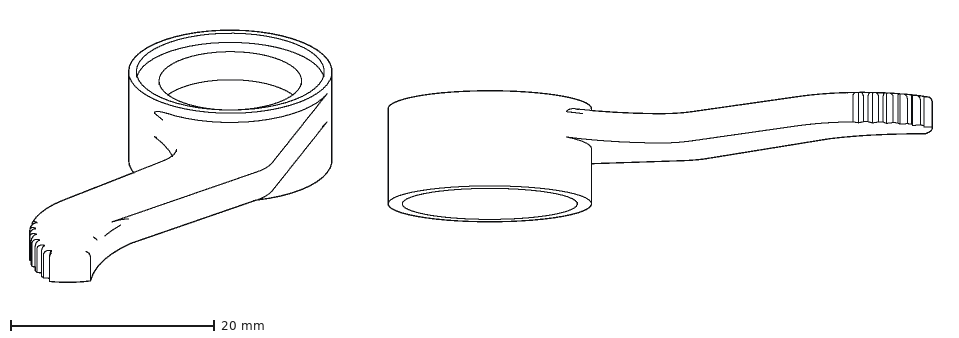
import cadquery as cq
import math

RING_DIAMETER = 20.0
RING_HEIGHT = 9.5
BORE_DIAMETER = 14.0
TOP_RECESS_DIAMETER = 18.5
TOP_RECESS_DEPTH = 1.0
BOTTOM_RECESS_DIAMETER = 17.2

ARM_THICKNESS = 3.0
ARM_TOP = RING_HEIGHT - TOP_RECESS_DEPTH
ARM_BOTTOM = ARM_TOP - ARM_THICKNESS
EDGE_RADIUS = 0.5
ELBOW_RADIUS = 4.95
WAIST_RADIUS = 4.95

RING_RADIUS = RING_DIAMETER / 2
OVERALL_LENGTH = 55.0
TIP_Y = RING_RADIUS - OVERALL_LENGTH

LEFT_ROOT = (-5.5, -8.25)
LEFT_WAIST = (0.2, -18.6)
LEFT_SHANK_END = (-7.05, -32.1)
GRIP_ARC_START = (-8.25, -36.75)
GRIP_END = (-4.05, TIP_Y)

TIP_CORNER = (-0.3, -43.6)
RIGHT_HOOK_MIDDLE = (-0.55, -38.2)
RIGHT_SHANK_END = (0.65, -33.9)
RIGHT_ELBOW = (RING_RADIUS, -18.8)

ROOT_ARC_POINT = (-1.9, -12.5)
TIP_ARC_POINT = (-2.2, -44.6)
LOWER_HOOK_POINT = (-0.65, -40.4)
UPPER_HOOK_POINT = (-0.15, -36.25)

NOTCH_COUNT = 6
NOTCHES_START_Y = -37.85
NOTCH_WIDTH = 1.05
NOTCH_DEPTH = 0.6
NOTCH_OVERCUT = 0.3


def make_cylinder(diameter, bottom, top):
    return cq.Workplane("XY").workplane(offset=bottom).circle(diameter / 2).extrude(top - bottom)


def make_arm():
    """Curved lever, rounded along the top of its left side, tip and hook."""
    arm = (
        cq.Workplane("XY")
        .workplane(offset=ARM_BOTTOM)
        .moveTo(*LEFT_ROOT)
        .threePointArc(ROOT_ARC_POINT, LEFT_WAIST)
        .lineTo(*LEFT_SHANK_END)
        .tangentArcPoint(GRIP_ARC_START, relative=False)
        .tangentArcPoint(GRIP_END, relative=False)
        .threePointArc(TIP_ARC_POINT, TIP_CORNER)
        .threePointArc(LOWER_HOOK_POINT, RIGHT_HOOK_MIDDLE)
        .threePointArc(UPPER_HOOK_POINT, RIGHT_SHANK_END)
        .lineTo(*RIGHT_ELBOW)
        .lineTo(RING_RADIUS, 0)
        .lineTo(0, 0)
        .close()
        .extrude(ARM_THICKNESS)
    )
    for corner, radius in ((RIGHT_ELBOW, ELBOW_RADIUS), (LEFT_WAIST, WAIST_RADIUS)):
        upright = cq.selectors.NearestToPointSelector((*corner, ARM_BOTTOM + ARM_THICKNESS / 2))
        arm = arm.edges(upright).fillet(radius)
    rounded_zone = cq.selectors.BoxSelector(
        (-RING_RADIUS, TIP_Y, ARM_BOTTOM),
        (RIGHT_SHANK_END[0], LEFT_ROOT[1], ARM_TOP + EDGE_RADIUS),
    )
    return arm.faces(">Z").edges(rounded_zone).fillet(EDGE_RADIUS)


def make_notches():
    """V cutters evenly spaced along the grip arc; the last one ends at the tip."""
    grip_arc = (
        cq.Workplane("XY")
        .moveTo(*LEFT_WAIST)
        .lineTo(*LEFT_SHANK_END)
        .tangentArcPoint(GRIP_ARC_START, relative=False)
        .tangentArcPoint(GRIP_END, relative=False)
        .val()
    )
    center = grip_arc.arcCenter()
    radius = grip_arc.radius()
    start = math.pi + math.asin((center.y - NOTCHES_START_Y) / radius)
    end = math.atan2(GRIP_END[1] - center.y, GRIP_END[0] - center.x) % math.tau
    half_notch = NOTCH_WIDTH / radius / 2
    first = start + half_notch
    pitch = (end - half_notch - first) / (NOTCH_COUNT - 1)

    half_mouth = NOTCH_WIDTH / 2 * (1 + NOTCH_OVERCUT / NOTCH_DEPTH)
    cutter = (
        cq.Workplane("XY")
        .workplane(offset=ARM_BOTTOM)
        .polyline([
            (radius - NOTCH_DEPTH, 0),
            (radius + NOTCH_OVERCUT, half_mouth),
            (radius + NOTCH_OVERCUT, -half_mouth),
        ])
        .close()
        .extrude(ARM_THICKNESS)
    )
    notches = cq.Workplane("XY")
    for index in range(NOTCH_COUNT):
        angle = math.degrees(first + index * pitch)
        notch = cutter.rotate((0, 0, 0), (0, 0, 1), angle).translate((center.x, center.y, 0))
        notches = notches.add(notch)
    return notches.combine()


ring = make_cylinder(RING_DIAMETER, 0, RING_HEIGHT)
top_recess = make_cylinder(TOP_RECESS_DIAMETER, ARM_TOP, RING_HEIGHT)
bottom_recess = make_cylinder(BOTTOM_RECESS_DIAMETER, 0, ARM_BOTTOM)
bore = make_cylinder(BORE_DIAMETER, 0, RING_HEIGHT)

arm = make_arm().cut(make_notches())
result = ring.union(arm).cut(top_recess).cut(bottom_recess).cut(bore)